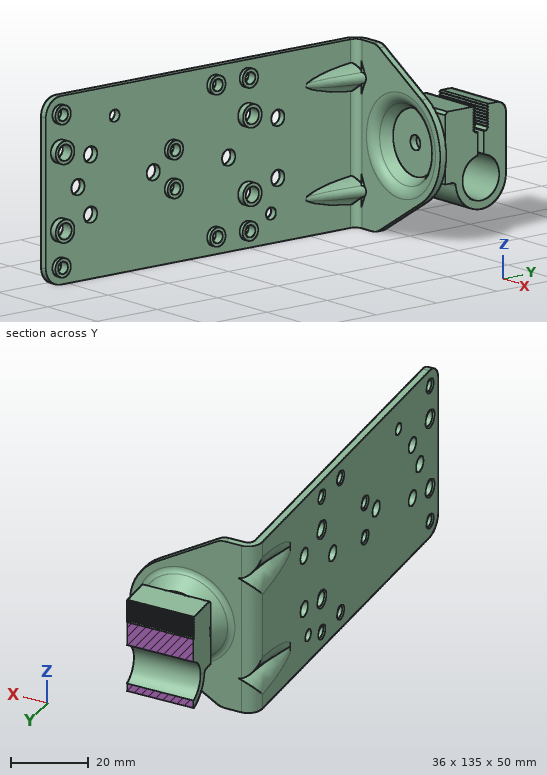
import cadquery as cq
import math

TOTAL_LENGTH = 135.0
PLATE_HEIGHT = 50.0
FLANGE_REACH = 36.0
FLANGE_FACE_Y = 105.0
SHEET = 2.0
BEND_RADIUS = 4.0
CORNER_RADIUS = 5.0
SHOULDER_X = 10.0

NOSE_RADIUS = 16.0
AXIS_X = FLANGE_REACH - NOSE_RADIUS
DISH_END_Y = 109.9
DISH_RIM_RADIUS = 14.0
DISH_END_RADIUS = 9.5
DISH_FLOOR_RADIUS = 9.0
DISH_INNER_ROUND = 3.6
DISH_INNER_ANGLE = math.radians(30)
DISH_OUTER_ROUND = 2.0
DISH_OUTER_ANGLE = math.radians(35)
DISH_HOLE_RADIUS = 2.0

CLAMP_WIDTH = 19.2
CLAMP_HALF = CLAMP_WIDTH / 2
BORE_Y = 121.8
BORE_Z = -CLAMP_HALF
BORE_RADIUS = 6.1
RING_RADIUS = 8.4
CLAMP_END_Y = BORE_Y + RING_RADIUS
CLAMP_CORNER = 3.0
CLAMP_CHAMFER = 0.8
NECK_ROUND = 1.1
GAP_HALF = 1.01
JAW_HALF = 2.4
JAW_FLOOR_Z = 2.5
JAW_FLOOR_CHAMFER = 0.8
TOOTH_COUNT = 8
TOOTH_DEPTH = 0.5

SHANK_RADIUS = 2.0
WASHER_RADIUS = 4.6
WASHER_THICKNESS = 1.0
HEAD_RADIUS = 3.5

RIB_Z = 15.0
RIB_TIP_Y = 84.4
RIB_SLOPE = 0.23
RIB_FLANK_RADIUS = 6.1
RIB_STATIONS = 7
RIB_SHEET = 1.6
RIB_FLARE_HALF_WIDTH = 4.3
RIB_FLARE_LENGTH = 1.4
RIB_FLARE_TAPER = 45

END_ROW_Y = 4.7
INNER_ROW_Y = 66.8
LARGE_BUSH_Z = 10.4
SCREW_HOLE_Z = 8.0
CENTRE_HOLE_Y = 10.7
CENTRE_HOLE_PITCH = 25.0
CENTRE_HOLE_COUNT = 3
SMALL_BUSHES = [
    (y, side * z)
    for y, z in [(END_ROW_Y, 20.2), (INNER_ROW_Y, 20.2), (56.0, 20.1), (42.0, 5.1)]
    for side in (1, -1)
]
LARGE_BUSHES = [(y, side * LARGE_BUSH_Z) for y in (END_ROW_Y, INNER_ROW_Y) for side in (1, -1)]
SCREW_HOLES = [(y, side * SCREW_HOLE_Z) for y in (14.8, 77.0) for side in (1, -1)]
SCREW_HOLES += [(CENTRE_HOLE_Y + CENTRE_HOLE_PITCH * step, 0) for step in range(CENTRE_HOLE_COUNT)]
PIN_HOLES = [(74.7, -17.0), (22.8, 17.0)]
SCREW_HOLE_RADIUS = 2.2
PIN_HOLE_RADIUS = 1.6
SMALL_BUSH_BORE = 1.6
SMALL_BUSH_RADIUS = 2.5
SMALL_BUSH_HEIGHT = 1.2
LARGE_BUSH_BORE = 2.2
LARGE_BUSH_RADIUS = 3.1
LARGE_BUSH_HEIGHT = 2.0
BUSH_CHAMFER = 0.4


def cylinder_x(radius, y, z, x_start, length):
    start = cq.Vector(x_start, y, z)
    return cq.Workplane(cq.Solid.makeCylinder(radius, length, start, cq.Vector(1, 0, 0)))


def cylinder_y(radius, y_start, length):
    start = cq.Vector(AXIS_X, y_start, 0)
    return cq.Workplane(cq.Solid.makeCylinder(radius, length, start, cq.Vector(0, 1, 0)))


def bent_sheet():
    """L-shaped sheet with a rounded bend, a rounded plate end and a tapered, round-nosed flange."""
    sheet = (
        cq.Workplane("XY", origin=(0, 0, -PLATE_HEIGHT / 2))
        .polyline([
            (0, 0), (SHEET, 0), (SHEET, FLANGE_FACE_Y - SHEET), (FLANGE_REACH, FLANGE_FACE_Y - SHEET),
            (FLANGE_REACH, FLANGE_FACE_Y), (0, FLANGE_FACE_Y),
        ])
        .close()
        .extrude(PLATE_HEIGHT)
    )
    outer_corner = cq.selectors.NearestToPointSelector((0, FLANGE_FACE_Y, 0))
    sheet = sheet.edges(outer_corner).fillet(BEND_RADIUS)
    inner_corner = cq.selectors.NearestToPointSelector((SHEET, FLANGE_FACE_Y - SHEET, 0))
    sheet = sheet.edges(inner_corner).fillet(BEND_RADIUS - SHEET)

    end_corners = (
        cq.Workplane("YZ")
        .rect(2 * FLANGE_FACE_Y, PLATE_HEIGHT)
        .extrude(FLANGE_REACH)
        .edges("|X and <Y")
        .fillet(CORNER_RADIUS)
        .translate((0, FLANGE_FACE_Y, 0))
    )

    drop_x = AXIS_X - SHOULDER_X
    half_height = PLATE_HEIGHT / 2
    to_shoulder = math.hypot(drop_x, half_height)
    touch_angle = math.atan2(half_height, -drop_x) - math.acos(NOSE_RADIUS / to_shoulder)
    touch_x = AXIS_X + NOSE_RADIUS * math.cos(touch_angle)
    touch_z = NOSE_RADIUS * math.sin(touch_angle)
    outline = (
        cq.Workplane("XZ")
        .moveTo(0, half_height)
        .lineTo(SHOULDER_X, half_height)
        .lineTo(touch_x, touch_z)
        .threePointArc((FLANGE_REACH, 0), (touch_x, -touch_z))
        .lineTo(SHOULDER_X, -half_height)
        .lineTo(0, -half_height)
        .close()
        .extrude(-FLANGE_FACE_Y)
    )
    for side in (1, -1):
        shoulder = cq.selectors.NearestToPointSelector((SHOULDER_X, FLANGE_FACE_Y / 2, side * half_height))
        outline = outline.edges(shoulder).fillet(CORNER_RADIUS)
    return sheet.intersect(end_corners).intersect(outline)


def rib_depth(distance):
    return RIB_SLOPE * distance


def rib_half_width(depth):
    return math.sqrt(2 * RIB_FLANK_RADIUS * depth - depth**2)


def rib_wedge(z, offset):
    """Sloping wedge whose arc flanks flare from the plate and meet in a sharp crest.

    An offset moves the whole surface inwards and rounds the crest to that radius.
    """
    flank_radius = RIB_FLANK_RADIUS - offset
    run = FLANGE_FACE_Y + SHEET - RIB_TIP_Y
    wires = []

    def flank_point(half_width, angle, side):
        x = offset + flank_radius * (1 - math.cos(angle))
        return (x, side * (half_width - flank_radius * math.sin(angle)))

    for station in range(1, RIB_STATIONS + 1):
        distance = run * (station / RIB_STATIONS) ** 2
        depth = rib_depth(distance)
        half_width = rib_half_width(depth)
        lean = math.acos(1 - depth / RIB_FLANK_RADIUS)
        foot, middle, crest = [flank_point(half_width, angle, 1) for angle in (0, lean / 2, lean)]
        far_foot, far_middle, far_crest = [flank_point(half_width, angle, -1) for angle in (0, lean / 2, lean)]
        plane = cq.Plane(origin=(0, RIB_TIP_Y + distance, z), xDir=(1, 0, 0), normal=(0, -1, 0))
        outline = cq.Workplane(plane).moveTo(*foot).threePointArc(middle, crest)
        if offset > 0:
            outline = outline.threePointArc((depth + offset, 0), far_crest)
        outline = outline.threePointArc(far_middle, far_foot).close()
        wires.append(outline.val())
    return cq.Workplane(cq.Solid.makeLoft(wires))


def rib_flare(z):
    """Tapered triangular foot that widens the raised rib where it meets the flange."""
    flange_inside_y = FLANGE_FACE_Y - SHEET
    crest_x = rib_depth(flange_inside_y - RIB_TIP_Y) + RIB_SHEET
    return (
        cq.Workplane("XZ", origin=(0, flange_inside_y, z))
        .polyline([(BEND_RADIUS, -RIB_FLARE_HALF_WIDTH), (crest_x, 0), (BEND_RADIUS, RIB_FLARE_HALF_WIDTH)])
        .close()
        .extrude(RIB_FLARE_LENGTH, taper=RIB_FLARE_TAPER)
    )


def add_ribs(sheet):
    """Each rib is raised on the inside of the bend over a matching groove on the outside."""
    inside = cq.Workplane().box(FLANGE_REACH, FLANGE_FACE_Y - SHEET / 2, PLATE_HEIGHT, (False, False, True))
    for z in (RIB_Z, -RIB_Z):
        raised = rib_wedge(z, RIB_SHEET)
        sheet = sheet.union(raised.intersect(inside)).union(rib_flare(z))
    for z in (RIB_Z, -RIB_Z):
        sheet = sheet.cut(rib_wedge(z, 0))
    return sheet


def flare_point(face_y, radius, angle):
    """Point at the given turn along the rounding that leads from the flange face into the dish."""
    return (DISH_RIM_RADIUS - radius * math.sin(angle), face_y + radius * (1 - math.cos(angle)))


def revolved_dish(face_y, end_y, round_radius, wall_angle, end_radius):
    """Solid of the dish: a flared rim on the given face, a conical wall and a flat end."""
    turn = math.pi / 2 - wall_angle
    return (
        cq.Workplane("XY", origin=(AXIS_X, 0, 0))
        .moveTo(0, face_y)
        .lineTo(DISH_RIM_RADIUS, face_y)
        .threePointArc(
            flare_point(face_y, round_radius, turn / 2),
            flare_point(face_y, round_radius, turn),
        )
        .lineTo(end_radius, end_y)
        .lineTo(0, end_y)
        .close()
        .revolve(360, (0, 0, 0), (0, 1, 0))
    )


def add_dish(bracket):
    floor_y = DISH_END_Y - SHEET
    outer = revolved_dish(FLANGE_FACE_Y, DISH_END_Y, DISH_OUTER_ROUND, DISH_OUTER_ANGLE, DISH_END_RADIUS)
    inner = revolved_dish(
        FLANGE_FACE_Y - SHEET, floor_y, DISH_INNER_ROUND, DISH_INNER_ANGLE, DISH_FLOOR_RADIUS
    )
    return bracket.union(outer).cut(inner).cut(cylinder_y(DISH_HOLE_RADIUS, floor_y, SHEET))


def add_plate_holes(bracket):
    bush_kinds = [
        (SMALL_BUSHES, SMALL_BUSH_BORE, SMALL_BUSH_RADIUS, SMALL_BUSH_HEIGHT),
        (LARGE_BUSHES, LARGE_BUSH_BORE, LARGE_BUSH_RADIUS, LARGE_BUSH_HEIGHT),
    ]
    for places, bore, radius, height in bush_kinds:
        for y, z in places:
            bracket = bracket.union(cylinder_x(radius, y, z, 0, SHEET + height))
            bracket = bracket.cut(cylinder_x(bore, y, z, 0, SHEET + height))
            countersink = cq.Solid.makeCone(
                bore + BUSH_CHAMFER, bore, BUSH_CHAMFER, cq.Vector(0, y, z), cq.Vector(1, 0, 0)
            )
            bracket = bracket.cut(cq.Workplane(countersink))
    for places, radius in [(SCREW_HOLES, SCREW_HOLE_RADIUS), (PIN_HOLES, PIN_HOLE_RADIUS)]:
        for y, z in places:
            bracket = bracket.cut(cylinder_x(radius, y, z, 0, SHEET))
    return bracket


def clamp_body():
    """Block with a ring below it; a small round joins the underside of the block to the ring."""
    neck_y = BORE_Y - math.sqrt((RING_RADIUS + NECK_ROUND) ** 2 - NECK_ROUND**2)
    neck_z = BORE_Z - NECK_ROUND
    neck_angle = math.atan2(BORE_Z - neck_z, BORE_Y - neck_y)
    mid_angle = (math.pi / 2 + neck_angle) / 2
    return (
        cq.Workplane("YZ", origin=(AXIS_X - CLAMP_HALF, 0, 0))
        .moveTo(DISH_END_Y, CLAMP_HALF - CLAMP_CHAMFER)
        .lineTo(DISH_END_Y + CLAMP_CHAMFER, CLAMP_HALF)
        .lineTo(CLAMP_END_Y - CLAMP_CORNER, CLAMP_HALF)
        .tangentArcPoint((CLAMP_CORNER, -CLAMP_CORNER))
        .lineTo(CLAMP_END_Y, BORE_Z)
        .threePointArc(
            (BORE_Y, BORE_Z - RING_RADIUS),
            (neck_y + NECK_ROUND * math.cos(neck_angle), neck_z + NECK_ROUND * math.sin(neck_angle)),
        )
        .threePointArc(
            (neck_y + NECK_ROUND * math.cos(mid_angle), neck_z + NECK_ROUND * math.sin(mid_angle)),
            (neck_y, BORE_Z),
        )
        .lineTo(DISH_END_Y, BORE_Z)
        .close()
        .extrude(CLAMP_WIDTH)
    )


def clamp_slot():
    """Narrow gap up from the bore that widens into a jaw with toothed walls."""
    pitch = (CLAMP_HALF - JAW_FLOOR_Z - JAW_FLOOR_CHAMFER) / TOOTH_COUNT
    half_outline = [
        (GAP_HALF, BORE_Z),
        (GAP_HALF, JAW_FLOOR_Z),
        (JAW_HALF - JAW_FLOOR_CHAMFER, JAW_FLOOR_Z),
        (JAW_HALF, JAW_FLOOR_Z + JAW_FLOOR_CHAMFER),
    ]
    for tooth in range(TOOTH_COUNT):
        root_z = JAW_FLOOR_Z + JAW_FLOOR_CHAMFER + tooth * pitch
        half_outline.append((JAW_HALF - TOOTH_DEPTH, root_z + pitch / 2))
        half_outline.append((JAW_HALF, root_z + pitch))
    mirrored = [(-y, z) for y, z in reversed(half_outline)]
    return (
        cq.Workplane("YZ", origin=(AXIS_X - CLAMP_HALF, BORE_Y, 0))
        .polyline(half_outline + mirrored)
        .close()
        .extrude(CLAMP_WIDTH)
    )


def clamp():
    bore = cylinder_x(BORE_RADIUS, BORE_Y, BORE_Z, AXIS_X - CLAMP_HALF, CLAMP_WIDTH)
    shank = cylinder_y(SHANK_RADIUS, BORE_Y - JAW_HALF, CLAMP_END_Y - BORE_Y + JAW_HALF)
    washer = cylinder_y(WASHER_RADIUS, CLAMP_END_Y, WASHER_THICKNESS)
    head = cylinder_y(HEAD_RADIUS, CLAMP_END_Y, TOTAL_LENGTH - CLAMP_END_Y)
    return clamp_body().cut(bore).cut(clamp_slot()).union(shank).union(washer).union(head)


bracket = add_plate_holes(add_dish(add_ribs(bent_sheet())))
result = bracket.union(clamp())